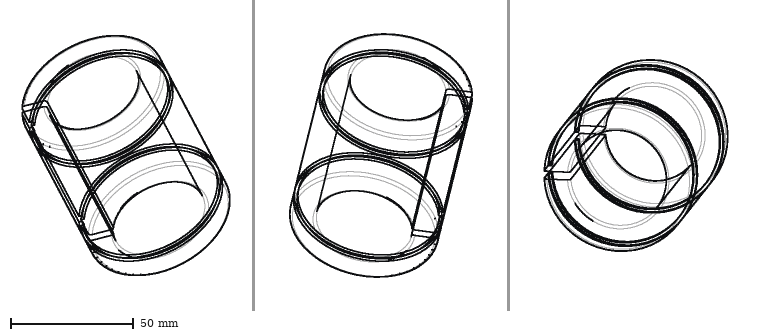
import cadquery as cq

length = 80.0
outer_diameter = 62.0
bore_diameter = 40.0
edge_radius = 1.2

groove_width = 2.2
groove_diameter = 59.0
groove_outer_span = 60.6

slot_width = 3.3


def make_sleeve():
    """Hollow cylinder with rounded inner and outer rims at both ends."""
    sleeve = (
        cq.Workplane("YZ", origin=(-length / 2, 0, 0))
        .circle(outer_diameter / 2)
        .circle(bore_diameter / 2)
        .extrude(length)
        .rotate((0, 0, 0), (1, 0, 0), 180)
    )
    return sleeve.faces("<X or >X").edges().fillet(edge_radius)


def make_groove_cutter(side):
    """Ring that cuts the groove on the -X (side = -1) or +X (side = 1) half."""
    center_x = side * (groove_outer_span - groove_width) / 2
    return (
        cq.Workplane("YZ", origin=(center_x - groove_width / 2, 0, 0))
        .circle(outer_diameter / 2)
        .circle(groove_diameter / 2)
        .extrude(groove_width)
    )


def make_slot_cutter():
    """Bar reaching from the axis out through the -Y wall."""
    return cq.Workplane("XY").box(length, outer_diameter, slot_width).translate((0, -outer_diameter / 2, 0))


result = make_sleeve()
for side in (-1, 1):
    result = result.cut(make_groove_cutter(side))
result = result.cut(make_slot_cutter())